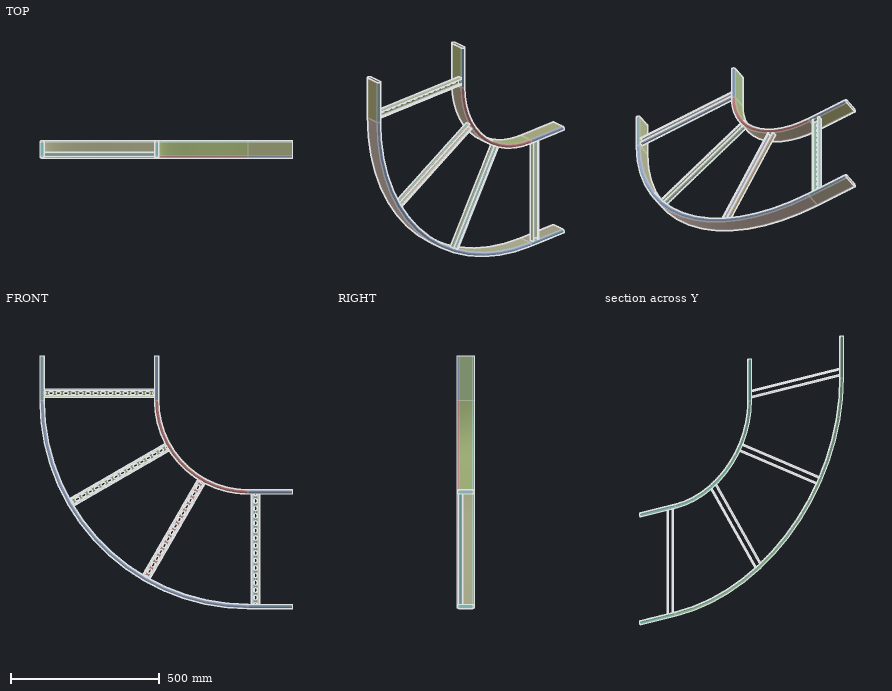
import cadquery as cq
overall_length = 850.0
straight_length = 150.0
outer_bend_radius = overall_length - straight_length
ladder_width = 400.0
bend_angle = 90.0

rail_height = 60.0
rail_thickness = 15.0
rail_wall = 1.5

rung_width = 29.0
rung_depth = 15.0
rung_wall = 1.5
rung_corner_radius = 2.5
rung_mouth = 17.0
rung_back_y = -9.0
rung_setback = 25.0
bend_rung_angles = [bend_angle / 3, bend_angle * 2 / 3]

slot_count = 16
slot_pitch = ladder_width / slot_count
slot_length = 15.0
slot_width = 8.5

outer_rail_radius = outer_bend_radius - rail_thickness / 2
inner_rail_radius = outer_bend_radius - ladder_width + rail_thickness / 2
rung_mid_radius = (outer_rail_radius + inner_rail_radius) / 2


def turn(body, angle):
    """Turn a body around the bend, from the upright leg towards the level leg."""
    return body.rotate((0, 0, 0), (0, -1, 0), angle)


def rail_bar(radius, height, thickness):
    """Solid bar with semicircular edges: upright leg, quarter bend, level leg."""

    def section():
        return cq.Workplane("XY").center(-radius, 0).slot2D(height, thickness, 90)

    upright_leg = section().extrude(straight_length)
    bend = section().revolve(bend_angle, (radius, 0, 0), (radius, -1, 0))
    level_leg = turn(section().extrude(-straight_length), bend_angle)
    return upright_leg.union(bend).union(level_leg)


def make_rail(radius):
    """Hollow side rail, open at both ends."""
    bore_height = rail_height - 2 * rail_wall
    bore_thickness = rail_thickness - 2 * rail_wall
    return rail_bar(radius, rail_height, rail_thickness).cut(
        rail_bar(radius, bore_height, bore_thickness)
    )


def make_rung_blank():
    """C channel along X, reaching between the middles of the two rails at Z = 0."""
    length = outer_rail_radius - inner_rail_radius
    middle = (-rung_mid_radius, rung_back_y - rung_depth / 2, 0)
    channel = (
        cq.Workplane("XY")
        .box(length, rung_depth, rung_width)
        .edges("|X")
        .fillet(rung_corner_radius)
    )
    cavity = (
        cq.Workplane("XY")
        .box(length, rung_depth - 2 * rung_wall, rung_width - 2 * rung_wall)
        .edges("|X")
        .fillet(rung_corner_radius - rung_wall)
    )
    mouth = cq.Workplane("XY").box(length, rung_depth / 2, rung_mouth).translate((0, -rung_depth / 2, 0))
    slots = (
        cq.Workplane("XZ")
        .rarray(slot_pitch, 8.5, slot_count, 1)
        .slot2D(slot_length, slot_width)
        .extrude(-rung_depth)
    )
    return channel.cut(cavity).cut(mouth).cut(slots).translate(middle)


rail_radii = [outer_rail_radius, inner_rail_radius]
rails = [make_rail(radius) for radius in rail_radii]

rung_blank = make_rung_blank()
rung_blanks = [rung_blank.translate((0, 0, rung_setback))]
rung_blanks += [turn(rung_blank, angle) for angle in bend_rung_angles]
rung_blanks.append(turn(rung_blank, bend_angle).translate((rung_setback, 0, 0)))

rail_bars = [rail_bar(radius, rail_height, rail_thickness) for radius in rail_radii]
rungs = [blank.cut(rail_bars[0]).cut(rail_bars[1]) for blank in rung_blanks]

result = cq.Compound.makeCompound([body.val() for body in rails + rungs])